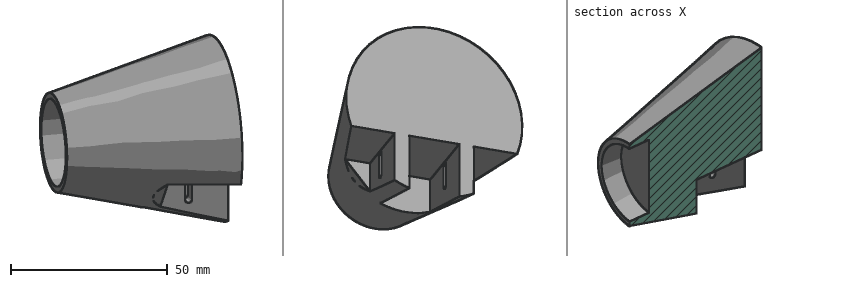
import cadquery as cq
import math

length = 54.2
small_radius = 16.0
large_radius = 30.0

recess_radius = 14.1
recess_depth = 8.0

relief_top = -10.0
lug_inner_x = 8.5
lug_width = 5.0
lug_outer_x = lug_inner_x + lug_width
gap_depth = 26.6
side_relief_depth = 22.6

slot_width = 2.3
slot_height = 9.0
slot_from_back = 13.2
slot_top = -10.6

reach = large_radius + 5.0


def cone_radius(depth):
    """Body radius at a distance in front of the large end."""
    return large_radius - (large_radius - small_radius) * depth / length


def make_body():
    profile = [(0, 0), (small_radius, 0), (large_radius, length), (0, length)]
    return cq.Workplane("XY").polyline(profile).close().revolve(360, (0, 0), (0, 1))


def make_recess():
    return cq.Workplane("XZ").circle(recess_radius).extrude(-recess_depth)


def extrude_from_back(points, depth):
    """Extrude an XZ outline from the large end towards the small end."""
    return cq.Workplane("XZ", origin=(0, length, 0)).polyline(points).close().extrude(depth)


def relief_box(x_near, x_far, depth):
    """Block below the relief top, from the large end to the given depth."""
    corners = [(x_near, relief_top), (x_far, relief_top), (x_far, -reach), (x_near, -reach)]
    return extrude_from_back(corners, depth)


def make_flat_cutter(side):
    """Trims the body ahead of a side relief to the chord of the relief's front edge."""
    radius = cone_radius(side_relief_depth)
    chord_top = (side * math.sqrt(radius**2 - relief_top**2), relief_top)
    chord_bottom = (side * lug_outer_x, -math.sqrt(radius**2 - lug_outer_x**2))
    outline = [
        chord_top,
        (side * reach, relief_top),
        (side * reach, -reach),
        (side * lug_outer_x, -reach),
        chord_bottom,
    ]
    return extrude_from_back(outline, gap_depth)


def make_slot():
    return (
        cq.Workplane("YZ")
        .center(length - slot_from_back, slot_top - slot_height / 2)
        .slot2D(slot_height, slot_width, 90)
        .extrude(reach, both=True)
    )


result = make_body().cut(make_recess())
result = result.cut(relief_box(-lug_inner_x, lug_inner_x, gap_depth))
for side in (-1, 1):
    result = result.cut(relief_box(side * lug_outer_x, side * reach, side_relief_depth))
    result = result.cut(make_flat_cutter(side))
result = result.cut(make_slot())